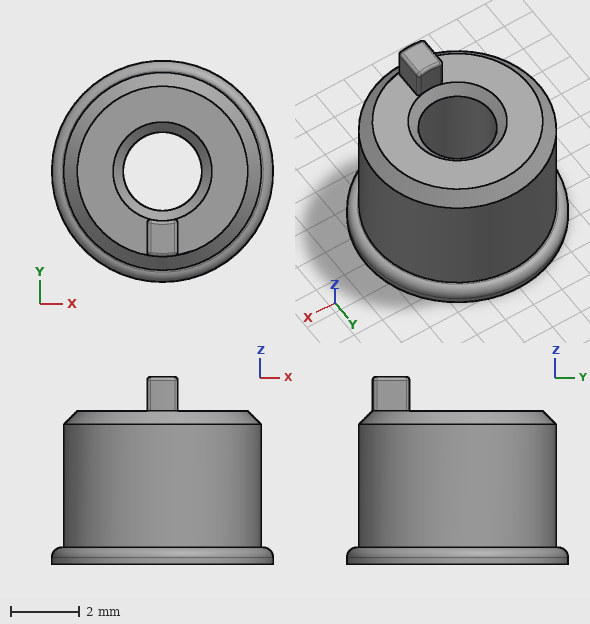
import cadquery as cq

FLANGE_DIAMETER = 6.5
FLANGE_HEIGHT = 0.5
FLANGE_FILLET = 0.3

BODY_DIAMETER = 5.8
BODY_TOP = 4.5
BODY_CHAMFER = 0.4

BORE_DIAMETER = 2.3
BORE_CHAMFER = 0.3

TOP_INNER_RADIUS = BORE_DIAMETER / 2 + BORE_CHAMFER
TOP_OUTER_RADIUS = BODY_DIAMETER / 2 - BODY_CHAMFER

KEY_WIDTH = 0.9
KEY_HEIGHT = 1.0
KEY_FILLET = 0.1


def make_bushing():
    """Flange, body, bore and their edge treatments as one half-section turned about Z."""
    flange_radius = FLANGE_DIAMETER / 2
    body_radius = BODY_DIAMETER / 2
    bore_radius = BORE_DIAMETER / 2
    return (
        cq.Workplane("YZ")
        .moveTo(-bore_radius, 0)
        .lineTo(-flange_radius, 0)
        .lineTo(-flange_radius, FLANGE_HEIGHT - FLANGE_FILLET)
        .radiusArc((FLANGE_FILLET - flange_radius, FLANGE_HEIGHT), FLANGE_FILLET)
        .lineTo(-body_radius, FLANGE_HEIGHT)
        .lineTo(-body_radius, BODY_TOP - BODY_CHAMFER)
        .lineTo(-TOP_OUTER_RADIUS, BODY_TOP)
        .lineTo(-TOP_INNER_RADIUS, BODY_TOP)
        .lineTo(-bore_radius, BODY_TOP - BORE_CHAMFER)
        .close()
        .revolve(360, (0, 0, 0), (0, 1, 0))
    )


def make_key():
    """Straight-sided key whose inner and outer faces follow the bore mouth and the top rim."""
    ring = (
        cq.Workplane("XY", origin=(0, 0, BODY_TOP))
        .circle(TOP_OUTER_RADIUS)
        .circle(TOP_INNER_RADIUS)
        .extrude(KEY_HEIGHT)
    )
    strip = (
        cq.Workplane("XY", origin=(0, -TOP_OUTER_RADIUS / 2, BODY_TOP))
        .rect(KEY_WIDTH, TOP_OUTER_RADIUS)
        .extrude(KEY_HEIGHT)
    )
    key = ring.intersect(strip)
    return key.edges("|Z or >Z").fillet(KEY_FILLET)


result = make_bushing().union(make_key())